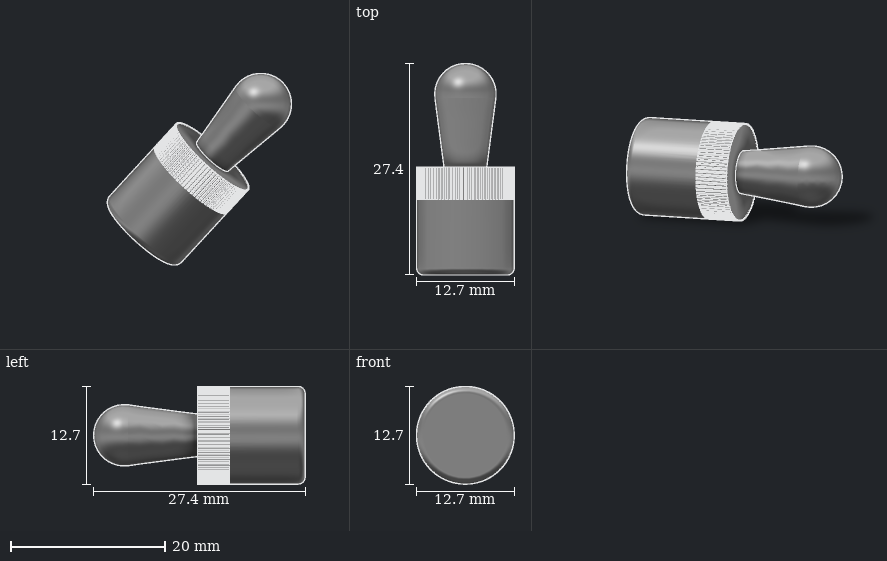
import cadquery as cq
import math


housing_diameter = 12.7
housing_length = 14.0
base_fillet = 0.95
housing_radius = housing_diameter / 2

knurl_length = 4.2
groove_count = 80
groove_width = 0.28
groove_flank_angle = 45.0
groove_overshoot = 0.1

ball_radius = 4.0
pin_projection = 13.45
taper_angle = math.radians(7.5)
shank_depth = 5.0

ball_centre = pin_projection - ball_radius
tangent_radius = ball_radius * math.cos(taper_angle)
tangent_height = ball_centre - ball_radius * math.sin(taper_angle)
neck_radius = tangent_radius - tangent_height * math.tan(taper_angle)


def cylinder_along_y(radius, start, end):
    """Cylinder on the Y axis reaching from Y = start up to Y = end."""
    return cq.Workplane("XZ", origin=(0, end, 0)).circle(radius).extrude(end - start)


def make_groove_cutters():
    """Triangular prisms spaced evenly around the mouth, point inwards."""
    slope = math.tan(math.radians(groove_flank_angle))
    groove_depth = groove_width / 2 / slope
    half_top = (groove_depth + groove_overshoot) * slope
    root = housing_radius - groove_depth
    top = housing_radius + groove_overshoot
    cutter = (
        cq.Workplane("XZ")
        .polyline([(root, 0), (top, half_top), (top, -half_top)])
        .close()
        .extrude(knurl_length)
        .val()
    )
    pitch_angle = 360 / groove_count
    return [cutter.rotate((0, 0, 0), (0, 1, 0), i * pitch_angle) for i in range(groove_count)]


def make_housing():
    """Round body with a rounded base, a blind bore for the shank and a knurled mouth."""
    body = cylinder_along_y(housing_radius, -housing_length, 0)
    body = body.faces("<Y").edges().fillet(base_fillet)
    body = body.cut(cylinder_along_y(neck_radius, -shank_depth, 0))
    return cq.Workplane(body.val().cut(*make_groove_cutters()))


def make_pin():
    """Turned pin: shank in the bore, tapered neck and ball nose."""
    return (
        cq.Workplane("XY")
        .moveTo(0, -shank_depth)
        .lineTo(neck_radius, -shank_depth)
        .lineTo(neck_radius, 0)
        .lineTo(tangent_radius, tangent_height)
        .radiusArc((0, pin_projection), -ball_radius)
        .close()
        .revolve(360, (0, 0, 0), (0, 1, 0))
    )


housing = make_housing()
pin = make_pin()

result = cq.Compound.makeCompound([housing.solids().val(), pin.val()])